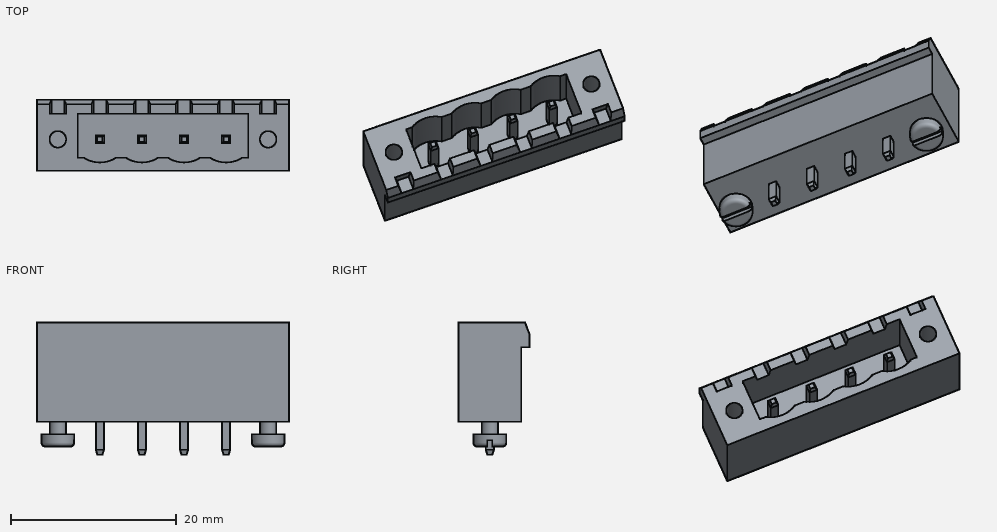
import cadquery as cq

pitch = 5.08
pin_count = 4
housing_length = (pin_count + 2) * pitch
housing_depth = 7.6
housing_height = 12.0
front_y = -housing_depth / 2
back_y = housing_depth / 2

lip_projection = 1.0
lip_height = 3.0
lip_bevel_depth = 0.55
lip_bevel_height = 1.4
lip_y = back_y + lip_projection

cavity_length = 20.6
cavity_back_y = 3.1
cavity_front_y = -2.25
cavity_floor_z = 3.4
recess_chord = 3.8
recess_depth = 0.55
recess_radius = ((recess_chord / 2) ** 2 + recess_depth**2) / (2 * recess_depth)

notch_top_width = 2.0
notch_bottom_width = 1.5
notch_depth = 1.4

pin_width = 1.0
pin_tip_width = 0.6
pin_tip_length = 0.6
pin_bottom_z = -4.0
pin_top_z = 10.0

screw_diameter = 2.0
screw_gap = 1.5
screw_head_diameter = 4.0
screw_head_height = 1.5
screw_head_fillet = 0.5
screw_slot_width = 0.6
screw_slot_depth = 0.8
flange_hole_diameter = 2.0
flange_hole_depth = housing_height - cavity_floor_z


def row_positions(count):
    """X places of a centred row at the contact pitch."""
    return [(i - (count - 1) / 2) * pitch for i in range(count)]


pin_xs = row_positions(pin_count)
notch_xs = row_positions(pin_count + 2)
screw_xs = [notch_xs[0], notch_xs[-1]]


def make_housing():
    """Block with the bevelled lip, as one profile along X."""
    profile = [
        (front_y, 0),
        (back_y, 0),
        (back_y, housing_height - lip_height),
        (lip_y, housing_height - lip_height),
        (lip_y, housing_height - lip_bevel_height),
        (lip_y - lip_bevel_depth, housing_height),
        (front_y, housing_height),
    ]
    return cq.Workplane("YZ").polyline(profile).close().extrude(housing_length / 2, both=True)


def make_cavity():
    """Rectangular cavity plus the cylinder segments that bulge into the front wall."""
    depth = housing_height - cavity_floor_z
    width = cavity_back_y - cavity_front_y
    floor = cq.Workplane("XY", origin=(0, 0, cavity_floor_z))
    cavity = floor.center(0, (cavity_back_y + cavity_front_y) / 2).rect(cavity_length, width).extrude(depth)
    front_zone = (
        floor.center(0, (cavity_front_y + front_y) / 2)
        .rect(cavity_length, cavity_front_y - front_y)
        .extrude(depth)
    )
    recess_center_y = cavity_front_y - recess_depth + recess_radius
    for x in pin_xs:
        cylinder = floor.center(x, recess_center_y).circle(recess_radius).extrude(depth)
        cavity = cavity.union(cylinder.intersect(front_zone))
    return cavity


def make_notch(x):
    """Trapezoidal notch from the cavity's back plane out through the lip."""
    bottom_z = housing_height - notch_depth
    profile = [
        (x - notch_bottom_width / 2, bottom_z),
        (x + notch_bottom_width / 2, bottom_z),
        (x + notch_top_width / 2, housing_height),
        (x - notch_top_width / 2, housing_height),
    ]
    plane = cq.Workplane("XZ", origin=(0, cavity_back_y, 0))
    return plane.polyline(profile).close().extrude(-(lip_y - cavity_back_y))


def make_pin_tip(x, z, direction):
    """Tapered end that narrows from height z, upward (1) or downward (-1)."""
    return (
        cq.Workplane(cq.Plane(origin=(x, 0, z), xDir=(1, 0, 0), normal=(0, 0, direction)))
        .rect(pin_width, pin_width)
        .workplane(offset=pin_tip_length)
        .rect(pin_tip_width, pin_tip_width)
        .loft(ruled=True)
    )


def make_pin(x):
    shank_bottom = pin_bottom_z + pin_tip_length
    shank_top = pin_top_z - pin_tip_length
    shank = (
        cq.Workplane("XY", origin=(x, 0, shank_bottom))
        .rect(pin_width, pin_width)
        .extrude(shank_top - shank_bottom)
    )
    return shank.union(make_pin_tip(x, shank_top, 1)).union(make_pin_tip(x, shank_bottom, -1))


def make_screw(x):
    """Slotted screw hanging below the housing."""
    shaft = cq.Workplane("XY", origin=(x, 0, 0)).circle(screw_diameter / 2).extrude(-screw_gap)
    head = (
        cq.Workplane("XY", origin=(x, 0, -screw_gap))
        .circle(screw_head_diameter / 2)
        .extrude(-screw_head_height)
        .faces("<Z")
        .edges()
        .fillet(screw_head_fillet)
    )
    slot = (
        cq.Workplane("XY", origin=(x, 0, -screw_gap - screw_head_height))
        .rect(screw_head_diameter, screw_slot_width)
        .extrude(screw_slot_depth)
    )
    return shaft.union(head.cut(slot))


def make_flange_hole(x):
    top = cq.Workplane("XY", origin=(x, 0, housing_height))
    return top.circle(flange_hole_diameter / 2).extrude(-flange_hole_depth)


result = make_housing().cut(make_cavity())
for notch_x in notch_xs:
    result = result.cut(make_notch(notch_x))
for pin_x in pin_xs:
    result = result.union(make_pin(pin_x))
for screw_x in screw_xs:
    result = result.union(make_screw(screw_x)).cut(make_flange_hole(screw_x))